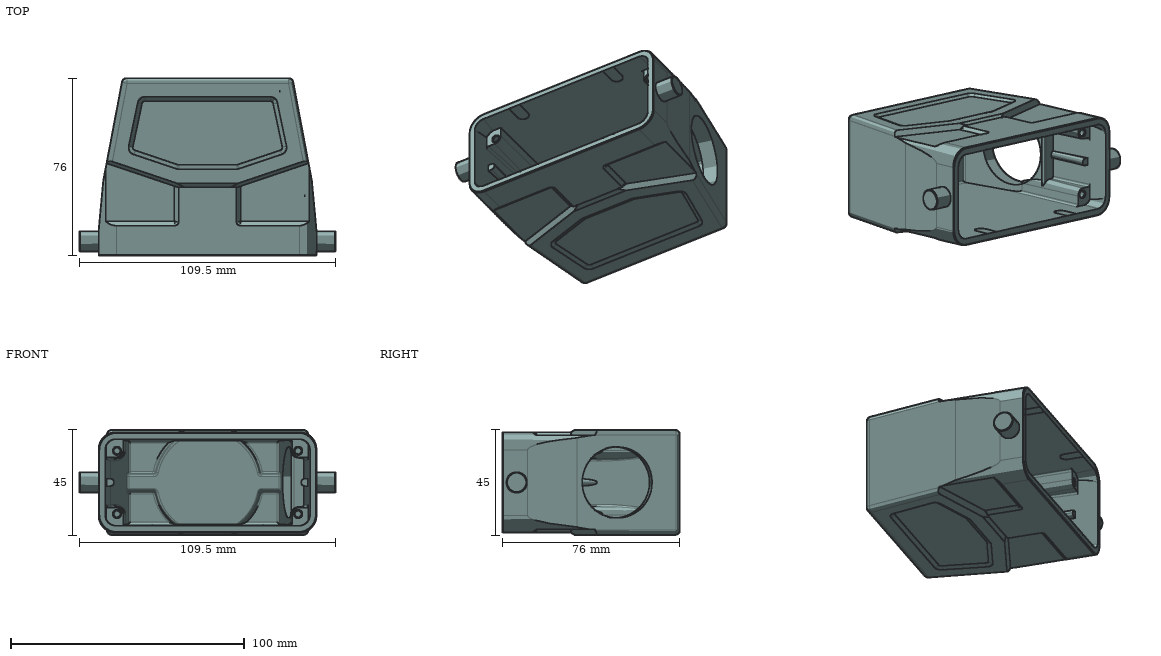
import cadquery as cq
import math


length_y = 76.0
mouth_half_x = 46.6
mouth_half_z = 21.5
mouth_corner_radius = 7.5
mouth_edge_chamfer = 0.4
straight_y = 10.8
bend_y = 31.85
bend_half_x = 44.65
side_slope = 0.189
back_half_x = bend_half_x - side_slope * (length_y - bend_y)

cap_half_z = 22.5
cap_fillet = 2.2
cap_front_y = 31.05
cap_front_half_x = 13.2
front_slope = 0.3365
front_angle = math.atan(front_slope)
middle_bevel_run = 1.7
slant_bevel_run = 1.5

pocket_floor_z = 20.1
pocket_wall_run = 1.85
pocket_inner_x = 12.3
pocket_front_y = 12.9

label_depth = 1.0
label_wall_run = 1.85
label_back_y = 68.0
label_front_y = 37.05
label_front_half_x = 12.9
label_back_half_x = 29.3
label_floor_radius = 1.3
label_side_slope = 0.21

pin_diameter = 8.8
pin_tip_x = 54.75
pin_root_x = 44.5
pin_y = 6.2
pin_chamfer = 0.3

cavity_half_x = 43.8
cavity_half_z = 18.5
cavity_corner_radius = 4.7
cavity_depth = 73.0
cavity_back_half_z = 17.8
cavity_back_fillet = 0.9
left_bend_half_x = 41.7
left_back_half_x = 33.7

ledge_y = 29.5
ledge_thickness = 1.5
ledge_outer_x = 41.2
ledge_inner_x = 35.8
ledge_edge_radius = 1.0
entry_back_x = 30.4
entry_slope = 0.17
entry_diameter = 30.4
entry_y = 48.0
entry_length = 30.0

post_inner_x = 36.1
post_inner_z = 10.8
post_front_y = 8.8
post_edge_radius = 3.0
post_draft = 1.0
post_root_fillet = 1.0
post_hole_x = 38.7
post_hole_z = 13.5
post_hole_diameter = 2.8
post_hole_depth = 12.0
post_hole_chamfer = 0.4
chamfer_angle = 45.0

rib_tip_x = 40.0
rib_width = 3.1
rib_edge_radius = 1.5
rib_front_y = 10.0

pad_height = 4.0
pad_radius = 22.7
pad_bar_half_z = 3.3
pad_draft = 10.0
pad_edge_fillet = 0.9
pad_corner_fillet = 1.2

slot_x = 23.7
slot_width = 5.4
slot_length = 9.5

overlap = 5.0


def side_x(y):
    """Half width of the leaning upper side walls at a given Y."""
    return back_half_x + side_slope * (length_y - y)


def mirrored_outline(right_half):
    """Close an outline from its +X half by reflecting it about X = 0."""
    left_half = [(-x, y) for x, y in reversed(right_half)]
    return cq.Workplane("XY").polyline(right_half + left_half).close()


def prism_z(outline, half_z):
    return outline.extrude(half_z, both=True)


def both_z(shape):
    """A shape together with its reflection about Z = 0."""
    return shape.union(shape.mirror("XY"))


def both_x(shape):
    """A shape together with its reflection about X = 0."""
    return shape.union(shape.mirror("YZ"))


def xz_plane(y):
    """Workplane facing +Y at a given Y; its local axes are (-X, Z)."""
    return cq.Workplane(cq.Plane(origin=(0, y, 0), xDir=(-1, 0, 0), normal=(0, 1, 0)))


def round_edges(shape, points, radius):
    """Fillet the edges of a shape that lie nearest to the given points."""
    edges = cq.Workplane()
    for point in points:
        edges = edges.add(shape.edges(cq.selectors.NearestToPointSelector(point)))
    return shape.newObject(edges.vals()).fillet(radius)


def make_shell():
    plan = mirrored_outline([
        (mouth_half_x, 0),
        (mouth_half_x, straight_y),
        (bend_half_x, bend_y),
        (back_half_x, length_y),
    ])
    section = (
        xz_plane(0)
        .rect(2 * mouth_half_x, 2 * mouth_half_z)
        .extrude(length_y - cap_fillet)
        .edges("|Y").fillet(mouth_corner_radius)
        .faces("<Y").edges().chamfer(mouth_edge_chamfer)
    )
    return section.intersect(prism_z(plan, mouth_half_z))


def make_pockets():
    """Pockets with sloping walls, left and right, in the +Z face."""
    wall_height = mouth_half_z - pocket_floor_z
    floor_x = pocket_inner_x + pocket_wall_run
    floor_y = pocket_front_y + pocket_wall_run
    outer_x = mouth_half_x + overlap
    back_y = cap_front_y + overlap + front_slope * (outer_x - cap_front_half_x)
    pocket = (
        cq.Workplane("XY", origin=(0, 0, pocket_floor_z))
        .polyline([
            (floor_x, floor_y),
            (outer_x, floor_y),
            (outer_x, back_y),
            (floor_x, back_y),
        ])
        .close()
        .extrude(wall_height, taper=-math.degrees(math.atan(pocket_wall_run / wall_height)))
    )
    return both_x(pocket)


def bevel_tool(point, outward, run, depth):
    """Long wedge that bevels the +Z edge passing through a point of the cap front."""
    along = (-outward[1], outward[0], 0)
    plane = cq.Plane(origin=(*point, cap_half_z), xDir=(*outward, 0), normal=along)
    return (
        cq.Workplane(plane)
        .polyline([(0, 0), (run, depth), (run + overlap, depth), (run + overlap, 0)])
        .close()
        .extrude(2 * mouth_half_x, both=True)
    )


def make_cap_block():
    """The cap before its edges are worked, a straight prism."""
    foot_y = cap_front_y - middle_bevel_run
    slant_shift = slant_bevel_run / math.cos(front_angle)
    slant_start_y = cap_front_y - slant_shift - front_slope * cap_front_half_x
    foot_x = (foot_y - slant_start_y) / front_slope
    side_end_x = side_x(slant_start_y) / (1 + side_slope * front_slope)
    plan = mirrored_outline([
        (foot_x, foot_y),
        (side_end_x, slant_start_y + front_slope * side_end_x),
        (back_half_x, length_y),
    ])
    return prism_z(plan, cap_half_z)


def make_cap(block):
    """Round the cap block along its sides and back, and bevel its front."""
    edge_y = length_y - 2 * overlap
    edge_x = side_x(edge_y)
    side_edges = [
        (x, edge_y, z) for x in (-edge_x, edge_x) for z in (-cap_half_z, cap_half_z)
    ]
    rounded_edges = block.faces(">Y").edges()
    for point in side_edges:
        rounded_edges = rounded_edges.add(block.edges(cq.selectors.NearestToPointSelector(point)))
    block = rounded_edges.fillet(cap_fillet)

    middle_bevel = bevel_tool(
        (0, cap_front_y), (0, -1), middle_bevel_run, cap_half_z - mouth_half_z
    )
    slant_bevel = bevel_tool(
        (cap_front_half_x, cap_front_y),
        (math.sin(front_angle), -math.cos(front_angle)),
        slant_bevel_run,
        cap_half_z - pocket_floor_z,
    )
    for bevel in (middle_bevel, slant_bevel, slant_bevel.mirror("YZ")):
        block = block.cut(bevel).cut(bevel.mirror("XY"))
    return block


def make_label_recess():
    """Recess with sloping walls in the +Z face of the cap."""
    slant_start_y = label_front_y - front_slope * label_front_half_x
    side_end_x = (
        (label_back_half_x + label_side_slope * (label_back_y - slant_start_y))
        / (1 + label_side_slope * front_slope)
    )
    outline = mirrored_outline([
        (label_front_half_x, label_front_y),
        (side_end_x, slant_start_y + front_slope * side_end_x),
        (label_back_half_x, label_back_y),
    ])
    floor = (
        outline.offset2D(-label_wall_run - label_floor_radius)
        .offset2D(label_floor_radius)
        .translate((0, 0, cap_half_z - label_depth))
    )
    wall_angle = math.degrees(math.atan(label_wall_run / label_depth))
    return cq.Workplane("XY").add(floor.vals()).toPending().extrude(label_depth, taper=-wall_angle)


def make_pins():
    pin = (
        cq.Workplane("YZ", origin=(pin_root_x, pin_y, 0))
        .circle(pin_diameter / 2)
        .extrude(pin_tip_x - pin_root_x)
        .faces(">X").chamfer(pin_chamfer)
    )
    return both_x(pin)


def make_plain_cavity():
    entry_front_y = ledge_y + ledge_thickness
    entry_front_x = entry_back_x + entry_slope * (cavity_depth - entry_front_y)
    plan = (
        cq.Workplane("XY")
        .polyline([
            (-cavity_half_x, 0),
            (cavity_half_x, 0),
            (ledge_outer_x, ledge_y),
            (ledge_inner_x, ledge_y),
            (ledge_inner_x, entry_front_y),
            (entry_front_x, entry_front_y),
            (entry_back_x, cavity_depth),
            (-left_back_half_x, cavity_depth),
            (-left_bend_half_x, bend_y),
        ])
        .close()
    )
    side_profile = (
        cq.Workplane("YZ")
        .polyline([
            (0, -cavity_half_z),
            (0, cavity_half_z),
            (cavity_depth, cavity_back_half_z),
            (cavity_depth, -cavity_back_half_z),
        ])
        .close()
        .extrude(cavity_half_x, both=True)
    )
    section = (
        xz_plane(0)
        .rect(2 * cavity_half_x, 2 * cavity_half_z)
        .extrude(cavity_depth)
        .edges("|Y").fillet(cavity_corner_radius)
    )
    cavity = round_edges(
        prism_z(plan, cavity_half_z), [(ledge_inner_x, ledge_y, 0)], ledge_edge_radius
    )
    cavity = cavity.intersect(side_profile).cut(make_back_pad())
    cavity = cavity.faces(">Y").edges().fillet(cavity_back_fillet)
    return cavity.intersect(section)


def make_posts():
    size_x = mouth_half_x + overlap - post_inner_x
    size_z = mouth_half_z + overlap - post_inner_z
    outline = cq.Sketch().rect(size_x, size_z).vertices().fillet(post_edge_radius)
    post = (
        xz_plane(post_front_y)
        .center(-post_inner_x - size_x / 2, post_inner_z + size_z / 2)
        .placeSketch(outline)
        .extrude(length_y - post_front_y, taper=-post_draft)
    )
    return both_x(both_z(post))


def make_post_holes():
    hole = (
        xz_plane(post_front_y)
        .center(-post_hole_x, post_hole_z)
        .circle(post_hole_diameter / 2)
        .extrude(post_hole_depth)
    )
    countersink = (
        xz_plane(post_front_y)
        .center(-post_hole_x, post_hole_z)
        .circle(post_hole_diameter / 2 + post_hole_chamfer)
        .extrude(post_hole_chamfer, taper=chamfer_angle)
    )
    return both_x(both_z(hole.union(countersink)))


def make_ribs():
    length = mouth_half_x - rib_tip_x
    rib = (
        xz_plane(rib_front_y)
        .center(-rib_tip_x - length / 2, 0)
        .rect(length, rib_width)
        .extrude(length_y - rib_front_y)
        .edges("|Y and <X").fillet(rib_edge_radius)
    )
    return both_x(rib)


def make_back_pad():
    """Disc crossed by a bar, both standing on the back wall."""
    base_growth = pad_height * math.tan(math.radians(pad_draft))
    pad_front = xz_plane(cavity_depth - pad_height)
    disc = pad_front.circle(pad_radius - base_growth / 2).extrude(pad_height, taper=-pad_draft)
    bar = pad_front.rect(2 * mouth_half_x, 2 * pad_bar_half_z).extrude(pad_height, taper=-pad_draft)
    pad = disc.union(bar)
    corner_x = math.sqrt(pad_radius ** 2 - pad_bar_half_z ** 2)
    corner_y = cavity_depth - pad_height / 2
    corners = [(x, corner_y, z) for x in (-corner_x, corner_x) for z in (-pad_bar_half_z, pad_bar_half_z)]
    pad = round_edges(pad, corners, pad_corner_fillet)
    return pad.faces("<Y").edges().fillet(pad_edge_fillet)


def make_cavity():
    """Everything hollow inside, leaving the pad, posts and ribs standing."""
    pad_front_y = cavity_depth - pad_height
    cavity = round_edges(
        make_plain_cavity(),
        [(-left_back_half_x, pad_front_y, 0), (entry_back_x, pad_front_y, 0)],
        pad_edge_fillet,
    )
    mouth_middle_y = (post_front_y + ledge_y) / 2
    post_roots = []
    for z in (-post_inner_z, post_inner_z):
        post_roots += [
            (-cavity_half_x, mouth_middle_y, z),
            (cavity_half_x, mouth_middle_y, z),
            (-rib_tip_x, bend_y + overlap, z),
        ]
    for z in (-cavity_half_z, cavity_half_z):
        post_roots += [(-post_inner_x, mouth_middle_y, z), (post_inner_x, mouth_middle_y, z)]
    cavity = round_edges(cavity.cut(make_posts()), post_roots, post_root_fillet)
    return cavity.cut(make_ribs())


def make_mouth_slots():
    slot = (
        cq.Workplane("XY", origin=(slot_x, 0, 0))
        .moveTo(-slot_width / 2, 0)
        .lineTo(slot_width / 2, 0)
        .lineTo(slot_width / 2, slot_length - slot_width / 2)
        .threePointArc((0, slot_length), (-slot_width / 2, slot_length - slot_width / 2))
        .close()
    )
    return both_x(prism_z(slot, cavity_half_z))


def make_cable_entry():
    """Round hole square to the thickened wall."""
    entry_x = entry_back_x + entry_slope * (cavity_depth - entry_y)
    axis = cq.Vector(1, entry_slope, 0).normalized()
    start = cq.Vector(entry_x, entry_y, 0)
    return cq.Workplane(
        cq.Solid.makeCylinder(entry_diameter / 2, entry_length, start, axis)
    )


pockets = both_z(make_pockets())
label_recesses = both_z(make_label_recess())
cap_block = make_cap_block()
outside = (
    make_shell()
    .cut(pockets)
    .cut(cap_block)
    .union(make_cap(cap_block))
    .cut(label_recesses)
    .union(make_pins())
)

result = (
    outside
    .cut(make_cavity())
    .cut(make_mouth_slots())
    .cut(make_post_holes())
    .cut(make_cable_entry())
)